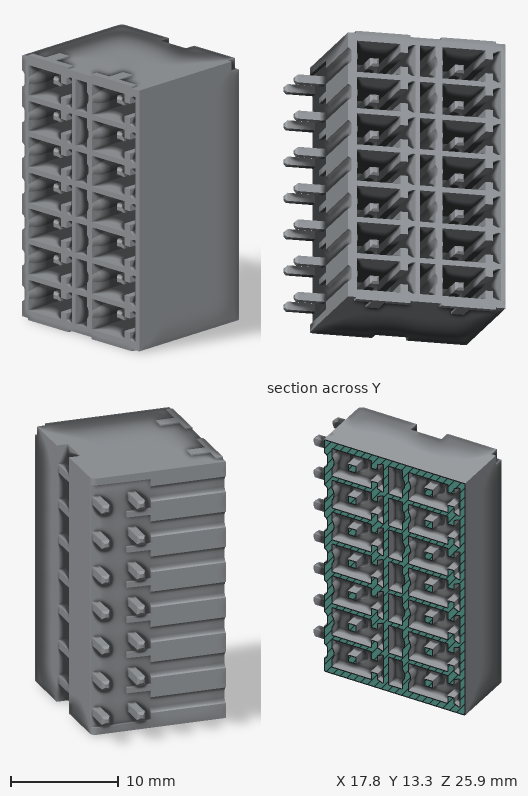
import cadquery as cq


POLES = 7
PITCH = 3.5
END_WALL = 0.5
COLUMN_SPACING = 8.25
POLE_HEIGHTS = [(i - (POLES - 1) / 2) * PITCH for i in range(POLES)]
COLUMN_OFFSETS = [0.0, COLUMN_SPACING]

BODY_X = 15.25
BODY_Y = 13.3
BODY_Z = POLES * PITCH + 2 * END_WALL
CORNER_RADIUS = 0.5

WALL_LEFT = 0.87
CAVITY_HALF_HEIGHT = 1.5
CAVITY_DEPTH = 8.0
KEY_LEFT = 5.07
KEY_RIGHT = 5.8
KEY_GAP_HALF = 0.68
LATCH_SHOULDER_HALF = 1.3
LATCH_FLARE_X = 6.25
LATCH_RIGHT = 6.38
LEAD_IN = 0.15
LEAD_IN_LENGTH = 1.5

BUMP_RADIUS = 1.06
BUMP_HEIGHT = 0.22

PIN_RECESS_RADIUS = 1.03
PIN_RECESS_DEPTH = 0.5
PIN_RECESS_DRAFTS = [8, 0]

POCKET_LEFT = 6.98
POCKET_RIGHT = 8.46
POCKET_DEPTH = CAVITY_DEPTH
POCKET_BULGE = 0.22
POCKET_BULGE_HALF = 0.6

RELIEF_DEPTH = 0.35
RELIEF_FRONT_Y = 7.4
RIM_FRONT = 0.76
RIM_BACK = 0.67
RIB_END_Y = 9.8
RIB_HALF_FRONT = 0.31
RIB_HALF_BACK = 0.27
GROOVE_HALF = 0.78
GROOVE_FLOOR_HALF = 0.38
GROOVE_FILLET = 0.45
GROOVE_DEPTH = RELIEF_DEPTH

BACK_NOTCH_LEFT = 6.12
BACK_NOTCH_RIGHT = 9.42
BACK_NOTCH_DEPTH = 1.1
CORNER_NOTCH_X = 0.5
CORNER_NOTCH_Y = 1.0
CORNER_NOTCH_Z = 1.0

T_RIB_HEIGHT = 0.2
T_BAR_LEFT = 0.79
T_BAR_LENGTH = 5.26
T_BAR_WIDTH = 0.68
T_STEM_LEFT = 2.42
T_STEM_WIDTH = 1.27
T_STEM_END_Y = 2.55

PIN_SIZE = 0.78
CONTACT_WIDTH = 0.87
PIN_HALF = PIN_SIZE / 2
PIN_X = 3.02
PIN_TIP_Y = 1.35
OVERALL_X = 17.8
TAIL_LENGTH = OVERALL_X - BODY_X
BACK_ROW_INSET = 0.52
BACK_ROW_Y = BODY_Y - BACK_ROW_INSET
TAIL_ROWS_Y = [BACK_ROW_Y - PITCH, BACK_ROW_Y]
POINT_LENGTH = 0.26
POINT_SIZE = 0.36
CONTACT_POINT_WIDTH = 0.45


def box(x0, x1, y0, y1, z0, z1):
    """Axis-aligned block between the given limits."""
    return cq.Workplane("XY").box(x1 - x0, y1 - y0, z1 - z0, centered=False).translate((x0, y0, z0))


def extrude_back(outline, depth):
    """Extrude a closed XZ outline from the mating face toward the back."""
    return outline.extrude(-depth)


def housing():
    """Solid block with a rounded vertical edge between the board-side and back faces."""
    body = box(0, BODY_X, 0, BODY_Y, -BODY_Z / 2, BODY_Z / 2)
    return body.edges("|Z and <X and >Y").fillet(CORNER_RADIUS)


def cavity():
    """Cutter for one mating cavity of the first column, centred on Z = 0."""
    upper = [
        (WALL_LEFT, CAVITY_HALF_HEIGHT),
        (KEY_LEFT, CAVITY_HALF_HEIGHT),
        (KEY_LEFT, KEY_GAP_HALF),
        (KEY_RIGHT, KEY_GAP_HALF),
        (KEY_RIGHT, LATCH_SHOULDER_HALF),
        (LATCH_FLARE_X, CAVITY_HALF_HEIGHT),
        (LATCH_RIGHT, CAVITY_HALF_HEIGHT),
    ]
    lower = [(x, -z) for x, z in reversed(upper)]
    room = extrude_back(cq.Workplane("XZ").polyline(upper + lower).close(), CAVITY_DEPTH)
    lead_in = (
        cq.Workplane("XY")
        .polyline([(LATCH_RIGHT, 0), (LATCH_RIGHT + LEAD_IN, 0), (LATCH_RIGHT, LEAD_IN_LENGTH)])
        .close()
        .extrude(CAVITY_HALF_HEIGHT, both=True)
    )
    return room.union(lead_in).cut(guide_bump())


def guide_bump():
    """Rod along Y, tapered at the mating face, that leaves the bump on the cavity wall."""
    axis_x = WALL_LEFT + BUMP_HEIGHT - BUMP_RADIUS
    profile = [
        (0, 0),
        (BUMP_RADIUS - LEAD_IN, 0),
        (BUMP_RADIUS, LEAD_IN_LENGTH),
        (BUMP_RADIUS, CAVITY_DEPTH),
        (0, CAVITY_DEPTH),
    ]
    rod = cq.Workplane("XY").polyline(profile).close().revolve(360, (0, 0), (0, 1))
    return rod.translate((axis_x, 0, 0))


def pin_recess(draft):
    """Cutter for the round recess in the cavity floor."""
    floor = cq.Workplane("XZ", origin=(PIN_X, CAVITY_DEPTH, 0))
    return floor.circle(PIN_RECESS_RADIUS).extrude(-PIN_RECESS_DEPTH, taper=draft)


def relief_pocket():
    """Cutter for one pocket between the columns; its right wall is hollowed by an arc."""
    outline = (
        cq.Workplane("XZ")
        .moveTo(POCKET_LEFT, -CAVITY_HALF_HEIGHT)
        .lineTo(POCKET_RIGHT, -CAVITY_HALF_HEIGHT)
        .lineTo(POCKET_RIGHT, -POCKET_BULGE_HALF)
        .threePointArc((POCKET_RIGHT + POCKET_BULGE, 0), (POCKET_RIGHT, POCKET_BULGE_HALF))
        .lineTo(POCKET_RIGHT, CAVITY_HALF_HEIGHT)
        .lineTo(POCKET_LEFT, CAVITY_HALF_HEIGHT)
        .close()
    )
    return extrude_back(outline, POCKET_DEPTH)


def side_groove():
    """Cutter for one groove in the board-side face, with rounded floor corners."""
    outline = (
        cq.Workplane("XZ")
        .moveTo(0, -GROOVE_HALF)
        .radiusArc((GROOVE_DEPTH, -GROOVE_FLOOR_HALF), -GROOVE_FILLET)
        .lineTo(GROOVE_DEPTH, GROOVE_FLOOR_HALF)
        .radiusArc((0, GROOVE_HALF), -GROOVE_FILLET)
        .close()
    )
    return extrude_back(outline, RELIEF_FRONT_Y)


def board_side_relief():
    """Cutter for the shallow relief where the tails leave, less the ribs between poles."""
    front_half = BODY_Z / 2 - RIM_FRONT
    back_half = BODY_Z / 2 - RIM_BACK
    relief = (
        cq.Workplane("YZ")
        .polyline([
            (RELIEF_FRONT_Y, -front_half),
            (BODY_Y, -back_half),
            (BODY_Y, back_half),
            (RELIEF_FRONT_Y, front_half),
        ])
        .close()
        .extrude(RELIEF_DEPTH)
    )
    rib = (
        cq.Workplane("YZ")
        .polyline([
            (RELIEF_FRONT_Y, -RIB_HALF_FRONT),
            (RIB_END_Y, -RIB_HALF_BACK),
            (RIB_END_Y, RIB_HALF_BACK),
            (RELIEF_FRONT_Y, RIB_HALF_FRONT),
        ])
        .close()
        .extrude(RELIEF_DEPTH)
    )
    for z in POLE_HEIGHTS[:-1]:
        relief = relief.cut(rib.translate((0, 0, z + PITCH / 2)))
    return relief


def back_notches():
    """Cutters for the full-height notch and the notch in the top corner of the back face."""
    top = BODY_Z / 2
    middle = box(BACK_NOTCH_LEFT, BACK_NOTCH_RIGHT, BODY_Y - BACK_NOTCH_DEPTH, BODY_Y, -top, top)
    corner_x = BODY_X - CORNER_NOTCH_X
    corner_y = BODY_Y - CORNER_NOTCH_Y
    corner = box(corner_x, BODY_X, corner_y, BODY_Y, top - CORNER_NOTCH_Z, top)
    return middle.union(corner)


def t_ribs():
    """T-shaped ribs of the first column, standing on both end faces."""
    half = BODY_Z / 2 + T_RIB_HEIGHT
    bar = box(T_BAR_LEFT, T_BAR_LEFT + T_BAR_LENGTH, 0, T_BAR_WIDTH, -half, half)
    stem = box(T_STEM_LEFT, T_STEM_LEFT + T_STEM_WIDTH, 0, T_STEM_END_Y, -half, half)
    core = box(0, BODY_X, 0, BODY_Y, -BODY_Z / 2, BODY_Z / 2)
    return bar.union(stem).cut(core)


def pointed_bar(length, width, point_width):
    """Bar along +Z, `width` wide in X, whose start at Z = 0 tapers to a small flat."""
    point = (
        cq.Workplane("XY")
        .rect(point_width, POINT_SIZE)
        .workplane(offset=POINT_LENGTH)
        .rect(width, PIN_SIZE)
        .loft(ruled=True)
    )
    shank = box(-width / 2, width / 2, -PIN_HALF, PIN_HALF, POINT_LENGTH, length)
    return point.union(shank)


def bent_pin(contact_x, tail_y):
    """Right-angle pin: contact along Y inside the cavity, tail along X toward the board."""
    contact_length = tail_y + PIN_HALF - PIN_TIP_Y
    contact = pointed_bar(contact_length, CONTACT_WIDTH, CONTACT_POINT_WIDTH)
    contact = contact.rotate((0, 0, 0), (1, 0, 0), -90)
    tail_length = contact_x + CONTACT_WIDTH / 2 + TAIL_LENGTH
    tail = pointed_bar(tail_length, PIN_SIZE, POINT_SIZE).rotate((0, 0, 0), (0, 1, 0), 90)
    return contact.translate((contact_x, PIN_TIP_Y, 0)).union(tail.translate((-TAIL_LENGTH, tail_y, 0)))


def pole_cutter():
    """Everything removed from the housing at one pole height."""
    cutter = relief_pocket().union(side_groove())
    for offset, draft in zip(COLUMN_OFFSETS, PIN_RECESS_DRAFTS):
        cutter = cutter.union(cavity().union(pin_recess(draft)).translate((offset, 0, 0)))
    return cutter


result = housing().cut(board_side_relief()).cut(back_notches())

cutter = pole_cutter()
for z in POLE_HEIGHTS:
    result = result.cut(cutter.translate((0, 0, z)))

for offset in COLUMN_OFFSETS:
    result = result.union(t_ribs().translate((offset, 0, 0)))

for offset, tail_y in zip(COLUMN_OFFSETS, TAIL_ROWS_Y):
    pin = bent_pin(PIN_X + offset, tail_y)
    for z in POLE_HEIGHTS:
        result = result.union(pin.translate((0, 0, z)))